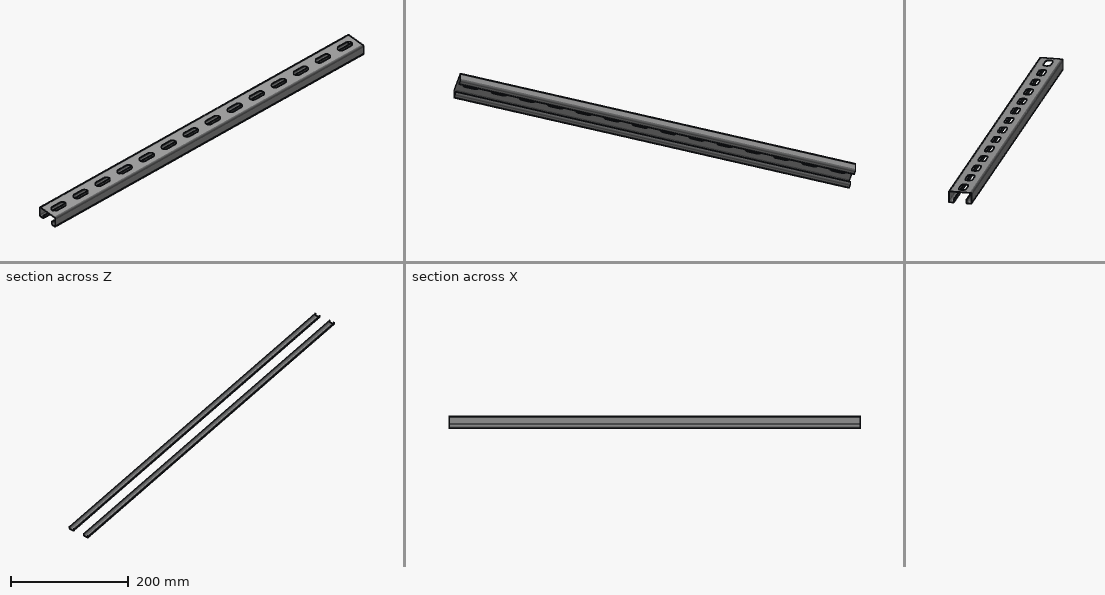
import cadquery as cq

width = 41.0
length = 700.0
height = 21.0
wall = 1.5
bend_radius = 2.5
mouth = 20.0
lip_height = 7.0

slot_length = 30.0
slot_width = 13.0
slot_pitch = 50.0
slot_count = round(length / slot_pitch)

inner_bend_radius = bend_radius - wall
half_width = width / 2
half_height = height / 2
half_mouth = mouth / 2


def make_sheet_profile():
    """C-section in XZ with sharp corners, symmetric about the Z axis."""
    lip_top = lip_height - half_height
    right_half = [
        (half_width, half_height),
        (half_width, -half_height),
        (half_mouth, -half_height),
        (half_mouth, lip_top),
        (half_mouth + wall, lip_top),
        (half_mouth + wall, wall - half_height),
        (half_width - wall, wall - half_height),
        (half_width - wall, half_height - wall),
    ]
    left_half = [(-x, z) for x, z in reversed(right_half)]
    return cq.Workplane("XZ").polyline(right_half + left_half).close()


def round_bends(channel, radius, inset):
    """Round the long edges of all six bends that lie the given depth inside the outer skin."""
    side = half_width - inset
    lip = half_mouth + inset
    top = half_height - inset
    corners = [(side, top), (side, -top), (lip, -top)]
    for x, z in corners:
        for edge_x in (x, -x):
            bend_edge = cq.selectors.NearestToPointSelector((edge_x, 0, z))
            channel = channel.edges(bend_edge).fillet(radius)
    return channel


def make_channel():
    """Full-length channel with rounded bends."""
    channel = make_sheet_profile().extrude(length / 2, both=True)
    channel = round_bends(channel, inner_bend_radius, wall)
    return round_bends(channel, bend_radius, 0)


def make_slots():
    """Row of slot cutters through the back, evenly spaced along the channel."""
    return (
        cq.Workplane("XY")
        .rarray(slot_pitch, slot_pitch, 1, slot_count)
        .slot2D(slot_length, slot_width, 90)
        .extrude(height)
    )


result = make_channel().cut(make_slots())